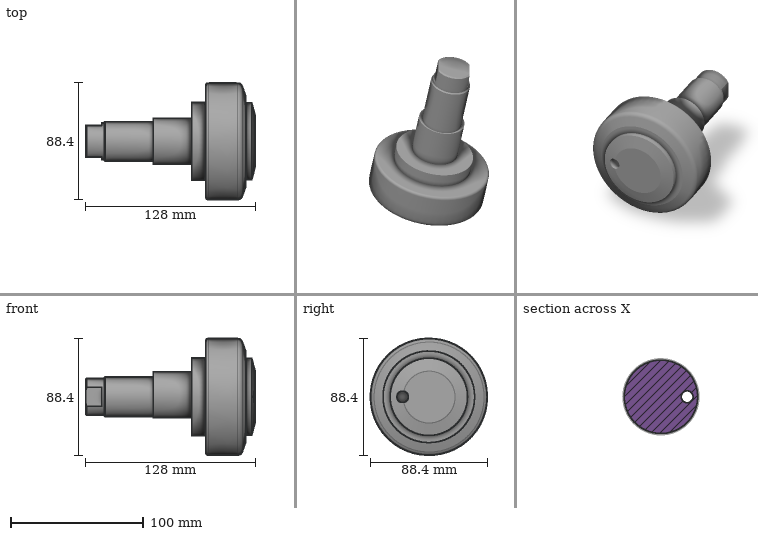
import cadquery as cq
import math

length = 128.0
flat_length = 12.0
thread_end = 14.0
journal_start = 51.0
collar_start = 80.0
collar_end = 90.3
roller_start = 90.7
roller_end = 120.8
cap_start = 121.5

thread_diameter = 28.0
stud_diameter = 30.0
journal_diameter = 35.0
collar_diameter = 59.0
hub_diameter = 55.8
cap_diameter = 58.5

tip_chamfer_length = 0.7
tip_chamfer_depth = 1.2
shoulder_chamfer_length = 0.7
across_flats = 24.0
journal_offset = 1.5

roller_diameter = 88.4
tread_width = 22.0
crown_radius = 500.0
inner_round = 2.0
outer_round = 3.8
roller_cone_angle = 20.0

cap_face_radius = 19.6
cap_cone_angle = 15.0
hole_diameter = 8.6
hole_depth = 10.0
hole_offset = 19.8


def cylinder(start, end, diameter, y=0.0, z=0.0):
    """Solid cylinder along X between two stations."""
    return cq.Workplane("YZ", origin=(start, y, z)).circle(diameter / 2).extrude(end - start)


def revolve_about_x(profile):
    """Close an XY profile and turn it around the X axis."""
    return profile.close().revolve(360, (0, 0, 0), (1, 0, 0))


def point_on_circle(center, radius, angle):
    """Point on a circle at an angle in degrees, counted from +X toward +Y."""
    return (
        center[0] + radius * math.cos(math.radians(angle)),
        center[1] + radius * math.sin(math.radians(angle)),
    )


def make_stud():
    """Chamfered stud with two wrench flats at its free end."""
    thread_radius = thread_diameter / 2
    stud_radius = stud_diameter / 2
    stud = revolve_about_x(
        cq.Workplane("XY")
        .lineTo(0, thread_radius - tip_chamfer_depth)
        .lineTo(tip_chamfer_length, thread_radius)
        .lineTo(thread_end, thread_radius)
        .lineTo(thread_end + shoulder_chamfer_length, stud_radius)
        .lineTo(journal_start, stud_radius)
        .lineTo(journal_start, 0)
    )
    flat_cut = cq.Workplane("XY").box(
        flat_length, stud_diameter, stud_diameter, centered=(False, True, True)
    )
    cut_offset = (across_flats + stud_diameter) / 2
    for side in (-1, 1):
        stud = stud.cut(flat_cut.translate((0, side * cut_offset, 0)))
    return stud


def make_roller():
    """Roller with a crowned tread, an inner edge round and a conical outer face."""
    tread_start = roller_start + inner_round
    tread_middle = tread_start + tread_width / 2
    tread_end = tread_start + tread_width
    crown_top = roller_diameter / 2
    crown_drop = crown_radius - math.sqrt(crown_radius**2 - (tread_width / 2) ** 2)
    tread_radius = crown_top - crown_drop

    inner_center = (tread_start, tread_radius - inner_round)
    outer_center = (tread_end, tread_radius - outer_round)
    cone_start = point_on_circle(outer_center, outer_round, roller_cone_angle)
    cone_depth = (roller_end - cone_start[0]) / math.tan(math.radians(roller_cone_angle))
    return revolve_about_x(
        cq.Workplane("XY")
        .moveTo(roller_start, 0)
        .lineTo(roller_start, tread_radius - inner_round)
        .threePointArc(point_on_circle(inner_center, inner_round, 135), (tread_start, tread_radius))
        .threePointArc((tread_middle, crown_top), (tread_end, tread_radius))
        .threePointArc(
            point_on_circle(outer_center, outer_round, (90 + roller_cone_angle) / 2), cone_start
        )
        .lineTo(roller_end, cone_start[1] - cone_depth)
        .lineTo(roller_end, 0)
    )


def make_cap():
    """End cap with a conical outer face."""
    cap_radius = cap_diameter / 2
    cone_length = (cap_radius - cap_face_radius) * math.tan(math.radians(cap_cone_angle))
    rim_end = length - cone_length
    return revolve_about_x(
        cq.Workplane("XY")
        .moveTo(cap_start, 0)
        .lineTo(cap_start, cap_radius)
        .lineTo(rim_end, cap_radius)
        .lineTo(length, cap_face_radius)
        .lineTo(length, 0)
    )


journal = cylinder(journal_start, collar_start, journal_diameter, z=journal_offset)
collar = cylinder(collar_start, collar_end, collar_diameter)
hub = cylinder(collar_end, cap_start, hub_diameter)
cap_hole = cylinder(length - hole_depth, length, hole_diameter, y=-hole_offset)

result = make_stud()
for section in (journal, collar, hub, make_roller(), make_cap()):
    result = result.union(section)
result = result.cut(cap_hole)